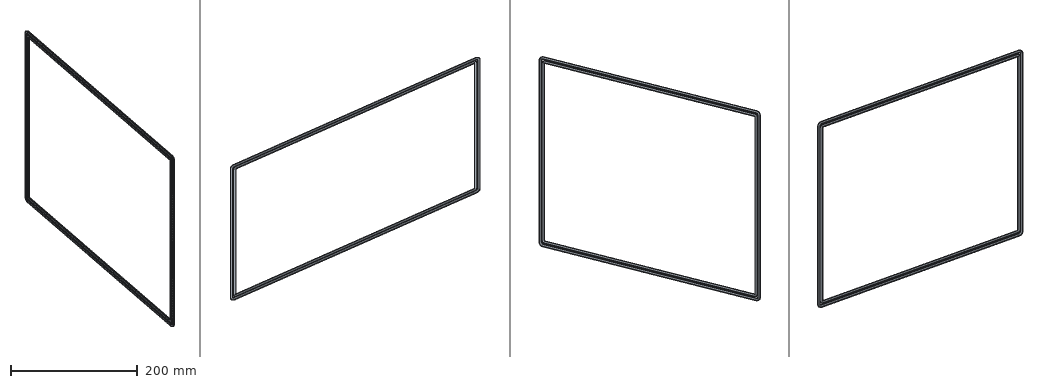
import cadquery as cq

LENGTH = 458.5
HEIGHT = 312.8

STRIP_DEPTH = 3.1
STRIP_WIDTH = 3.5
HALF_WIDTH = STRIP_WIDTH / 2
SIDE_DEPTH = STRIP_DEPTH - HALF_WIDTH

GAP = 2.5

OUTER_RING_CORNER = 7.5
INNER_RING_CORNER = 4.5


def strip_section(centre_x):
    """D-shaped section in the XY plane, with its flat front on y = 0."""
    return (
        cq.Workplane("XY")
        .moveTo(centre_x - HALF_WIDTH, 0)
        .lineTo(centre_x + HALF_WIDTH, 0)
        .lineTo(centre_x + HALF_WIDTH, SIDE_DEPTH)
        .threePointArc((centre_x, STRIP_DEPTH), (centre_x - HALF_WIDTH, SIDE_DEPTH))
        .close()
    )


def strip_ring(length, height, corner_radius):
    """Rounded-rectangle ring of strip with the given outside size and corner radius."""
    x = length / 2 - HALF_WIDTH
    z = height / 2 - HALF_WIDTH
    r = corner_radius - HALF_WIDTH
    centre_line = (
        cq.Workplane("XZ")
        .moveTo(x, 0)
        .lineTo(x, z - r)
        .tangentArcPoint((x - r, z), relative=False)
        .lineTo(r - x, z)
        .tangentArcPoint((-x, z - r), relative=False)
        .lineTo(-x, r - z)
        .tangentArcPoint((r - x, -z), relative=False)
        .lineTo(x - r, -z)
        .tangentArcPoint((x, r - z), relative=False)
        .close()
    )
    return strip_section(x).sweep(centre_line)


def make_outer_ring():
    return strip_ring(LENGTH, HEIGHT, OUTER_RING_CORNER)


def make_inner_ring():
    inset = STRIP_WIDTH + GAP
    return strip_ring(LENGTH - 2 * inset, HEIGHT - 2 * inset, INNER_RING_CORNER)


outer_ring = make_outer_ring()
inner_ring = make_inner_ring()

result = cq.Compound.makeCompound([outer_ring.val(), inner_ring.val()])